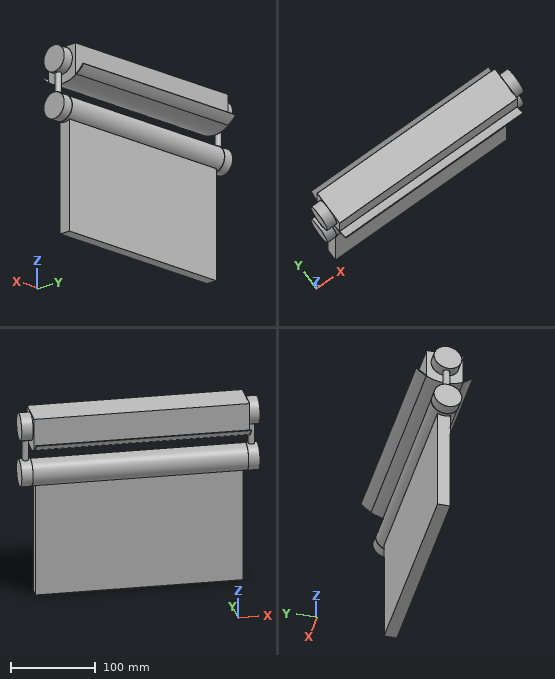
import cadquery as cq
import math

overall_length = 286.0
overall_height = 230.2
wing_span = 70.5

cap_diameter = 33.7
cap_width = 13.7
cap_top_clearance = 0.5
roller_diameter = 33.0
axis_spacing = 58.5
pin_diameter = 8.0
pin_inset = 7.5

housing_width = 45.0
housing_height = 45.8
bottom_radius = 45.8
wing_thickness = 1.0

plate_length = 249.5
plate_thickness = 15.7

body_length = overall_length - 2 * cap_width
upper_axis_z = -cap_top_clearance - cap_diameter / 2
lower_axis_z = upper_axis_z - axis_spacing
arc_center_z = bottom_radius - housing_height


def cylinder_along_x(diameter, length, center_x, center_z):
    """Solid cylinder along X, centred on the given point."""
    return (
        cq.Workplane("YZ", origin=(center_x - length / 2, 0, center_z))
        .circle(diameter / 2)
        .extrude(length)
    )


def make_housing():
    """Square-topped bar whose underside is an arc."""
    half_width = housing_width / 2
    corner_z = arc_center_z - math.sqrt(bottom_radius**2 - half_width**2)
    return (
        cq.Workplane("YZ", origin=(-body_length / 2, 0, 0))
        .moveTo(-half_width, 0)
        .lineTo(-half_width, corner_z)
        .threePointArc((0, -housing_height), (half_width, corner_z))
        .lineTo(half_width, 0)
        .close()
        .extrude(body_length)
    )


def make_wings():
    """Thin curved sheet that continues the arc of the underside past both sides."""
    inner_radius = bottom_radius - wing_thickness
    tip_angle = math.asin(wing_span / 2 / bottom_radius)

    def arc_point(radius, angle):
        return (radius * math.sin(angle), arc_center_z - radius * math.cos(angle))

    return (
        cq.Workplane("YZ", origin=(-body_length / 2, 0, 0))
        .moveTo(*arc_point(bottom_radius, -tip_angle))
        .threePointArc(arc_point(bottom_radius, 0), arc_point(bottom_radius, tip_angle))
        .lineTo(*arc_point(inner_radius, tip_angle))
        .threePointArc(arc_point(inner_radius, 0), arc_point(inner_radius, -tip_angle))
        .close()
        .extrude(body_length)
    )


def make_end(side):
    """Two caps and the pin joining them; side is -1 or 1 along X."""
    cap_x = side * (overall_length - cap_width) / 2
    pin_x = side * (overall_length / 2 - pin_inset)
    upper_cap = cylinder_along_x(cap_diameter, cap_width, cap_x, upper_axis_z)
    lower_cap = cylinder_along_x(cap_diameter, cap_width, cap_x, lower_axis_z)
    pin = (
        cq.Workplane("XY", origin=(pin_x, 0, lower_axis_z))
        .circle(pin_diameter / 2)
        .extrude(axis_spacing)
    )
    return upper_cap.union(lower_cap).union(pin)


def make_plate():
    """Flat plate hanging from the roller axis."""
    plate_height = overall_height + lower_axis_z
    return cq.Workplane("XY").box(plate_length, plate_thickness, plate_height).translate(
        (0, 0, lower_axis_z - plate_height / 2)
    )


roller = cylinder_along_x(roller_diameter, body_length, 0, lower_axis_z)
result = make_housing().union(make_wings()).union(roller).union(make_plate())
for end_side in (-1, 1):
    result = result.union(make_end(end_side))